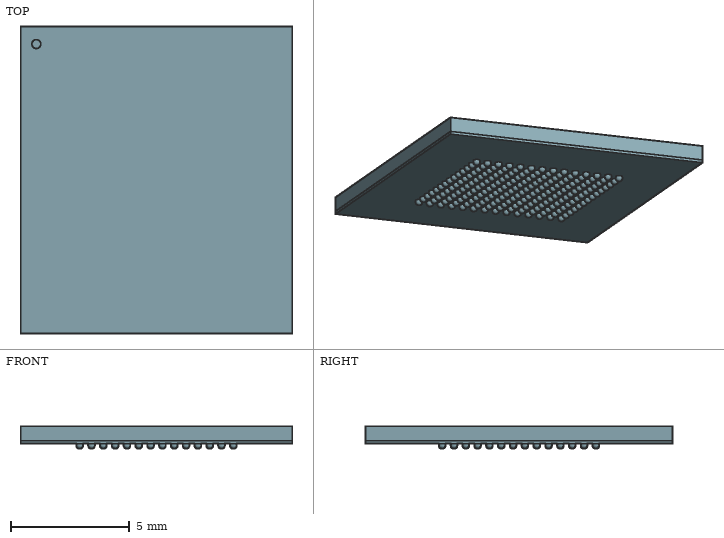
import cadquery as cq

package_x = 11.5
package_y = 13.0
package_height = 0.96

ball_standoff = 0.22
substrate_thickness = 0.12
substrate_top = ball_standoff + substrate_thickness
mold_thickness = package_height - substrate_top

ball_diameter = 0.30
ball_radius = ball_diameter / 2
ball_pitch = 0.5
balls_per_side = 14

mark_diameter = 0.38
mark_depth = 0.005
mark_from_left = 0.67
mark_from_back = 0.75


def plate(thickness, bottom):
    """Rectangular layer with the package outline, starting at height bottom."""
    return (
        cq.Workplane("XY")
        .workplane(offset=bottom)
        .rect(package_x, package_y)
        .extrude(thickness)
    )


def ball_places():
    """Centre of every ball in the square grid."""
    first = -ball_pitch * (balls_per_side - 1) / 2
    steps = [first + ball_pitch * index for index in range(balls_per_side)]
    return [cq.Vector(x, y, ball_radius) for x in steps for y in steps]


def make_substrate():
    """Thin board with the solder balls fused to its underside."""
    ball = cq.Workplane("YZ").sphere(ball_radius).val()
    balls = [ball.translate(place) for place in ball_places()]
    board = plate(substrate_thickness, ball_standoff).val()
    return cq.Workplane(board.fuse(*balls))


def make_mold():
    """Mold cap covering the substrate, with the pin 1 mark sunk into its top."""
    mark = (
        cq.Workplane("XY")
        .workplane(offset=package_height - mark_depth)
        .center(mark_from_left - package_x / 2, package_y / 2 - mark_from_back)
        .circle(mark_diameter / 2)
        .extrude(mark_depth)
    )
    return plate(mold_thickness, substrate_top).cut(mark)


substrate = make_substrate()
mold = make_mold()

result = cq.Compound.makeCompound([substrate.val(), mold.val()])